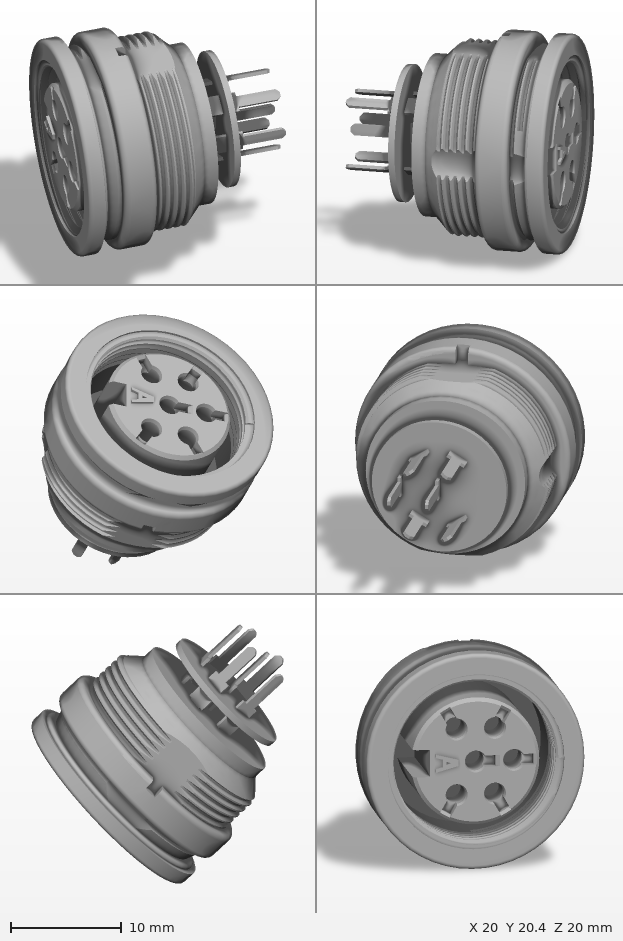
import cadquery as cq

flange_diameter = 20.0
flange_thickness = 1.5
flange_round = 0.37
gasket_diameter = 18.9
gasket_back = 1.92
gasket_round = 0.3

thread_pitch = 0.75
shell_diameter = 17.91
shell_root_diameter = 17.18
shell_taper_end = 2.95
shell_thread_start = 2.55
shell_thread_start_angle = 203.0
shell_thread_end = 10.6
thread_clearance = 0.05
upper_flat_angle = 270.0
shell_groove_root_width = 0.2
shell_groove_crest_width = 0.65
flat_height = 8.4
key_channel_radius = 2.05
key_channel_bottom = 8.2

collar_diameter = 14.8
collar_front = 11.59
housing_back = 12.83

ledge_diameter = 16.2
ledge_depth = 0.25
bore_entry_diameter = 15.2
bore_diameter = 14.8
bore_floor = 8.15
bore_thread_start = 0.25
bore_thread_length = 3.94
bore_groove_root_width = 0.08
bore_groove_crest_width = 0.7

nut_front = 3.4
nut_back = 6.4
nut_round = 0.49
nut_slot_width = 1.18
nut_slot_depth = 0.95

insert_diameter = 11.77
insert_front = 0.15
insert_chamfer = 0.33
keyway_edge = -4.18
keyway_width = 2.53
keyway_depth = 8.57
keyway_radius = 5.6

contact_circle_radius = 3.5
contact_angles = [0, 60, 120, 240, 300]

socket_diameter = 1.8
socket_entry_diameter = 2.02
socket_entry_depth = 0.37
socket_depth = 3.05
slot_depth = 1.06
slot_width = 1.05
slot_reach = 1.85
slot_bevel_reach = 2.22
slot_bevel_depth = 0.3

blade_thickness = 0.3
blade_tip = 20.25
blade_narrow_start = 16.24
blade_wide_start = 12.93
blade_narrow_width = 1.05
blade_wide_width = 1.85
blade_neck_width = 1.26
blade_tip_chamfer = 0.33
blade_embedding = 0.4

disk_diameter = 12.5
disk_front = 14.69
disk_thickness = 0.6

mark_height = 0.29
mark_embedding = 0.1


def cylinder(diameter, front, back):
    return cq.Workplane("XZ", origin=(0, front, 0)).circle(diameter / 2).extrude(front - back)


def revolved(outline):
    """Turn an outline of (radius, y) points around the connector axis."""
    return cq.Workplane("XY").polyline(outline).close().revolve(360, (0, 0, 0), (0, 1, 0))


def helical_groove(inner_radius, outer_radius, inner_width, outer_width, start, length, angle):
    """Right-hand V groove around the Y axis; the angle runs from +X toward -Z."""
    path = cq.Wire.makeHelix(thread_pitch, length, inner_radius)
    profile = [
        (inner_radius, -inner_width / 2),
        (outer_radius, -outer_width / 2),
        (outer_radius, outer_width / 2),
        (inner_radius, inner_width / 2),
    ]
    groove = cq.Workplane("XZ").polyline(profile).close().sweep(cq.Workplane(path), isFrenet=True)
    groove = groove.rotate((0, 0, 0), (0, 0, 1), angle)
    return groove.rotate((0, 0, 0), (1, 0, 0), -90).translate((0, start, 0))


def shell_blank():
    root_radius = shell_root_diameter / 2
    crest_radius = shell_diameter / 2
    collar_radius = collar_diameter / 2
    shell = revolved([
        (0, 0),
        (root_radius, 0),
        (root_radius, gasket_back),
        (crest_radius, shell_taper_end),
        (crest_radius, collar_front - (crest_radius - collar_radius)),
        (collar_radius, collar_front),
        (collar_radius, housing_back),
        (0, housing_back),
    ])
    flats = cq.Workplane("XY").box(2 * shell_diameter, 2 * housing_back, 2 * flat_height)
    channel = cylinder(2 * key_channel_radius, -housing_back, 2 * housing_back)
    channel = channel.translate((-key_channel_bottom - key_channel_radius, 0, 0))
    return shell.intersect(flats).cut(channel)


def shell_grooves():
    """Groove of the shell thread in half turns, left out where the nut hides it.

    Every half turn ends at one of the two flats, which lie deeper than the groove root.
    """
    hidden_part = cylinder(flange_diameter, nut_front, nut_back)
    start = shell_thread_start
    angle = shell_thread_start_angle
    end_angle = upper_flat_angle
    grooves = []
    while start < shell_thread_end:
        length = thread_pitch * (end_angle - angle) / 360
        groove = helical_groove(
            shell_root_diameter / 2, shell_diameter / 2 + thread_clearance,
            shell_groove_root_width, shell_groove_crest_width, start, length, angle,
        )
        groove = groove.cut(hidden_part)
        if groove.solids().size() > 0:
            grooves.append(groove)
        start += length
        angle = end_angle
        end_angle += 180
    return grooves


def flange():
    rim = cylinder(flange_diameter, 0, flange_thickness).faces("<Y").edges().fillet(flange_round)
    gasket = cylinder(gasket_diameter, 0, gasket_back).faces(">Y").edges().fillet(gasket_round)
    return rim.union(gasket)


def nut():
    ring = cylinder(flange_diameter, nut_front, nut_back).edges().fillet(nut_round)
    slots = cq.Workplane("XY").box(nut_slot_width, 2 * nut_slot_depth, 2 * flange_diameter)
    return ring.cut(slots.translate((0, nut_back, 0)))


def front_opening():
    entry_radius = bore_entry_diameter / 2
    bore_radius = bore_diameter / 2
    return revolved([
        (0, 0),
        (ledge_diameter / 2, 0),
        (ledge_diameter / 2, ledge_depth),
        (entry_radius, ledge_depth),
        (bore_radius, ledge_depth + entry_radius - bore_radius),
        (bore_radius, bore_floor),
        (0, bore_floor),
    ])


def bore_thread():
    overlap = 0.02
    return helical_groove(
        bore_diameter / 2 - overlap, ledge_diameter / 2, bore_groove_crest_width, bore_groove_root_width,
        bore_thread_start, bore_thread_length, 0,
    )


def contact_places():
    """Each contact as (distance from the axis, direction angle)."""
    return [(0, 0)] + [(contact_circle_radius, angle) for angle in contact_angles]


def place(shape, distance, angle):
    return shape.translate((distance, 0, 0)).rotate((0, 0, 0), (0, 1, 0), -angle)


def socket_opening():
    hole = revolved([
        (0, 0),
        (socket_entry_diameter / 2, 0),
        (socket_diameter / 2, socket_entry_depth),
        (socket_diameter / 2, socket_depth),
        (0, socket_depth),
    ])
    slot = (
        cq.Workplane("XY")
        .polyline([
            (0, 0),
            (slot_bevel_reach, 0),
            (slot_reach, slot_bevel_depth),
            (slot_reach, slot_depth),
            (0, slot_depth),
        ])
        .close()
        .extrude(slot_width / 2, both=True)
    )
    return hole.union(slot).translate((0, insert_front, 0))


def insert():
    body = cylinder(insert_diameter, insert_front, housing_back).faces("<Y").edges().chamfer(insert_chamfer)
    keyway = (
        cq.Workplane("XY")
        .box(insert_diameter, keyway_depth, keyway_width, centered=(True, False, True))
        .translate((keyway_edge - insert_diameter / 2, 0, 0))
    )
    body = body.cut(keyway.intersect(cylinder(insert_diameter, 0, bore_floor)))
    body = body.cut(keyway.intersect(cylinder(2 * keyway_radius, 0, keyway_depth)))
    for distance, angle in contact_places():
        body = body.cut(place(socket_opening(), distance, angle))
    return body


def blade():
    def section(width, start, end):
        return (
            cq.Workplane("XY")
            .box(blade_thickness, end - start, width, centered=(True, False, True))
            .translate((0, start, 0))
        )

    pin = section(blade_narrow_width, blade_narrow_start, blade_tip)
    pin = pin.faces(">Y").edges("|X").chamfer(blade_tip_chamfer)
    shoulder = section(blade_wide_width, blade_wide_start, blade_narrow_start)
    neck = section(blade_neck_width, housing_back - blade_embedding, blade_wide_start)
    return neck.union(shoulder).union(pin)


def key_mark():
    outer = [
        (-3.73, 0.84), (-1.65, 0.29), (-1.65, -0.29), (-3.73, -0.84), (-3.73, -0.55),
        (-3.1, -0.37), (-3.1, 0.37), (-3.73, 0.55),
    ]
    window = [(-2.73, 0.16), (-2.28, 0), (-2.73, -0.16)]
    plane = cq.Workplane("XZ", origin=(0, insert_front + mark_embedding, 0))
    thickness = mark_height + mark_embedding
    mark = plane.polyline(outer).close().extrude(thickness)
    return mark.cut(plane.polyline(window).close().extrude(thickness))


result = shell_blank().union(flange()).union(nut())
for groove in shell_grooves():
    result = result.cut(groove, clean=False)
result = result.cut(front_opening(), clean=False).cut(bore_thread(), clean=False)
result = result.union(insert(), clean=False).union(key_mark(), clean=False)
result = result.union(cylinder(disk_diameter, disk_front, disk_front + disk_thickness), clean=False)
for distance, angle in contact_places():
    result = result.union(place(blade(), distance, angle), clean=False)